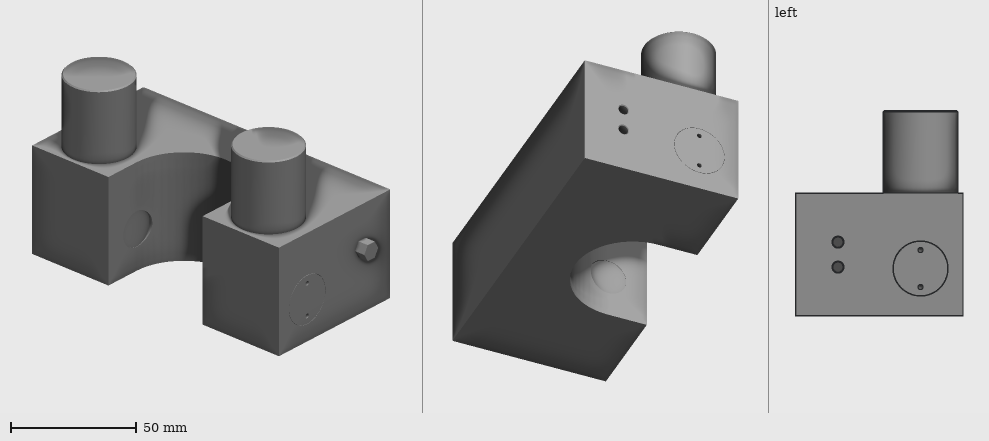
import cadquery as cq
import math

total_length = 137.0
block_length = 132.0
left_face_x = -block_length / 2
right_face_x = block_length / 2
block_depth = 67.0
block_height = 49.0
back_edge_radius = 0.4

slot_width = 50.4
slot_radius = slot_width / 2
slot_center_y = 17.1

total_height = 82.0
pillar_diameter = 30.0
pillar_height = total_height - block_height
pillar_chamfer = 0.5
pillar_spacing = 90.7
pillar_x = pillar_spacing / 2
pillar_y = 17.0

piston_y = pillar_y
piston_z = 18.9
piston_diameter = 16.0
piston_recess = 0.1

plug_bore_diameter = 22.0
plug_diameter = 21.8
plug_gap_depth = 0.7
key_hole_diameter = 2.0
key_hole_spacing = 14.8
key_hole_depth = 2.7
key_hole_tip_angle = 118.0

port_diameter = 4.1
port_mouth_diameter = 4.8
port_chamfer = (port_mouth_diameter - port_diameter) / 2
port_depth = 6.8
port_y = 50.0
lower_port_z = 19.5
port_spacing = 10.0
upper_port_z = lower_port_z + port_spacing
hex_across_corners = 8.4
hex_length = total_length - block_length


def x_cylinder(diameter, x_start, length, y, z):
    """Cylinder along X, from x_start towards +X."""
    plane = cq.Workplane("YZ", origin=(x_start, y, z))
    return plane.circle(diameter / 2).extrude(length)


def block_with_slot():
    block = cq.Workplane("XY").box(
        block_length, block_depth, block_height, centered=(True, False, False)
    )
    block = block.edges("|Z and >Y").fillet(back_edge_radius)
    slot = (
        cq.Workplane("XY")
        .moveTo(-slot_radius, 0)
        .lineTo(-slot_radius, slot_center_y)
        .threePointArc((0, slot_center_y + slot_radius), (slot_radius, slot_center_y))
        .lineTo(slot_radius, 0)
        .close()
        .extrude(block_height)
    )
    return block.cut(slot)


def pillars():
    return (
        cq.Workplane("XY", origin=(0, 0, block_height))
        .pushPoints([(-pillar_x, pillar_y), (pillar_x, pillar_y)])
        .circle(pillar_diameter / 2)
        .extrude(pillar_height)
        .faces(">Z")
        .edges()
        .chamfer(pillar_chamfer)
    )


def piston_recesses():
    """One bore reaching just past both slot walls, giving each piston a flat end face."""
    length = slot_width + 2 * piston_recess
    return x_cylinder(piston_diameter, -length / 2, length, piston_y, piston_z)


def key_hole(z):
    """Drilled blind hole with a conical bottom, in the left end face."""
    radius = key_hole_diameter / 2
    tip_depth = radius / math.tan(math.radians(key_hole_tip_angle / 2))
    hole = x_cylinder(key_hole_diameter, left_face_x, key_hole_depth, piston_y, z)
    tip = cq.Solid.makeCone(
        radius,
        0,
        tip_depth,
        pnt=cq.Vector(left_face_x + key_hole_depth, piston_y, z),
        dir=cq.Vector(1, 0, 0),
    )
    return hole.union(cq.Workplane(tip))


def plug_cuts():
    """Ring gap and two key holes of the plug on the left end face."""
    bore = x_cylinder(plug_bore_diameter, left_face_x, plug_gap_depth, piston_y, piston_z)
    plug = x_cylinder(plug_diameter, left_face_x, plug_gap_depth, piston_y, piston_z)
    lower_key = key_hole(piston_z - key_hole_spacing / 2)
    upper_key = key_hole(piston_z + key_hole_spacing / 2)
    return bore.cut(plug).union(lower_key).union(upper_key)


def port_hole(z):
    """Blind port in the left end face, with a chamfered mouth."""
    hole = x_cylinder(port_diameter, left_face_x, port_depth, port_y, z)
    mouth = (
        cq.Workplane("YZ", origin=(left_face_x, port_y, z))
        .circle(port_mouth_diameter / 2)
        .workplane(offset=port_chamfer)
        .circle(port_diameter / 2)
        .loft()
    )
    return hole.union(mouth)


def hex_stub():
    plane = cq.Workplane("YZ", origin=(right_face_x, port_y, upper_port_z))
    return plane.polygon(6, hex_across_corners).extrude(hex_length)


left_plug = plug_cuts()
right_plug = left_plug.mirror("YZ")

result = (
    block_with_slot()
    .union(pillars())
    .cut(piston_recesses())
    .cut(left_plug)
    .cut(right_plug)
    .cut(port_hole(lower_port_z))
    .cut(port_hole(upper_port_z))
    .union(hex_stub())
)